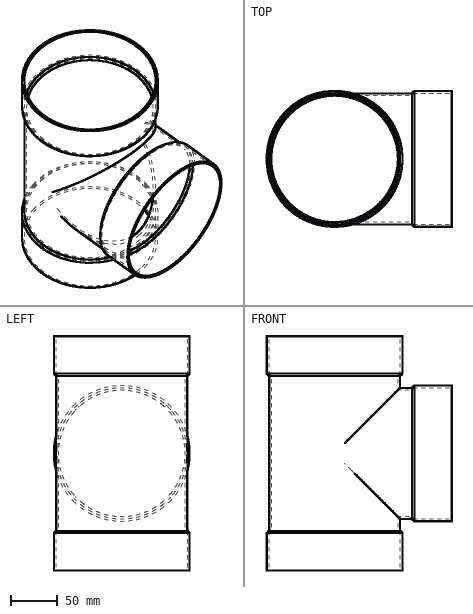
import cadquery as cq

pipe_bore_diameter = 135.0
pipe_outer_diameter = 140.0
socket_bore_diameter = pipe_outer_diameter
socket_outer_diameter = 145.0
run_length = 250.0
branch_reach = 125.0
socket_depth = 40.0
taper_length = 2.5


def run_solid(pipe_radius, socket_radius):
    """Solid of revolution about Z with a tapered step up to a socket at both ends."""
    run_end = run_length / 2
    socket_start = run_end - socket_depth
    pipe_end = socket_start - taper_length
    return (
        cq.Workplane("XZ")
        .moveTo(0, -run_end)
        .lineTo(socket_radius, -run_end)
        .lineTo(socket_radius, -socket_start)
        .lineTo(pipe_radius, -pipe_end)
        .lineTo(pipe_radius, pipe_end)
        .lineTo(socket_radius, socket_start)
        .lineTo(socket_radius, run_end)
        .lineTo(0, run_end)
        .close()
        .revolve(360, (0, 0, 0), (0, 1, 0))
    )


def branch_solid(pipe_radius, socket_radius):
    """Solid of revolution about X, from the run axis out to the branch socket mouth."""
    socket_start = branch_reach - socket_depth
    return (
        cq.Workplane("XZ")
        .lineTo(0, pipe_radius)
        .lineTo(socket_start - taper_length, pipe_radius)
        .lineTo(socket_start, socket_radius)
        .lineTo(branch_reach, socket_radius)
        .lineTo(branch_reach, 0)
        .close()
        .revolve(360, (0, 0, 0), (1, 0, 0))
    )


def tee_solid(pipe_diameter, socket_diameter):
    """Join the run and the branch into one solid tee."""
    pipe_radius = pipe_diameter / 2
    socket_radius = socket_diameter / 2
    run = run_solid(pipe_radius, socket_radius)
    branch = branch_solid(pipe_radius, socket_radius)
    return run.union(branch)


outer_body = tee_solid(pipe_outer_diameter, socket_outer_diameter)
inner_void = tee_solid(pipe_bore_diameter, socket_bore_diameter)

result = outer_body.cut(inner_void)